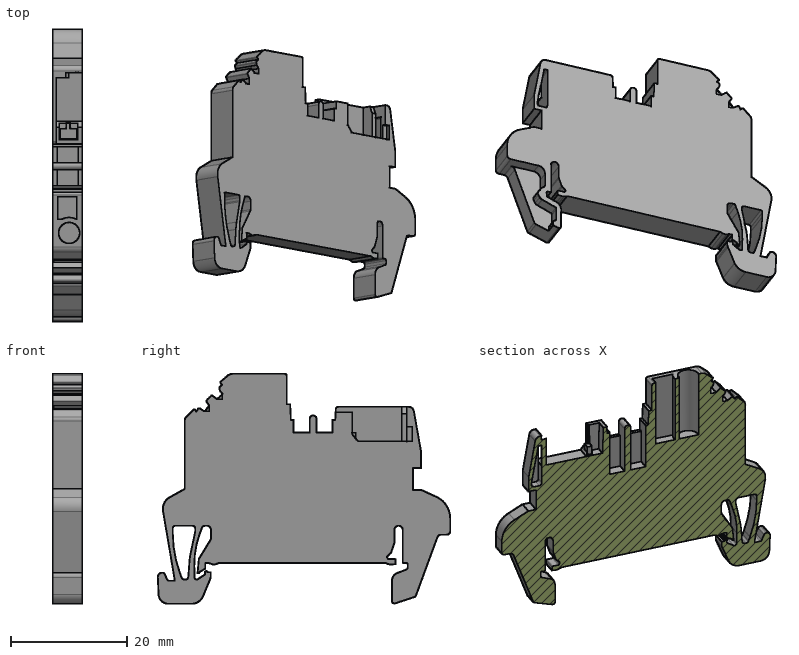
import cadquery as cq
import math


THICKNESS = 5.1
LENGTH = 50.37
HEIGHT = 39.63
OVERCUT = 1.0
COINCIDENT = 1e-6

RAIL_Z = 7.04
SHOULDER_BASE_Z = 11.91
SPRING_SLOT_TOP_Z = 13.45
SHOULDER_TOP_Z = 19.64
PLATE_BOTTOM_Z = 23.4
BRIDGE_FLOOR_Z = 29.52
BRIDGE_STEP_Z = 31.67
MARKER_TOP_Z = 33.95
HOUSING_STEP_Z = 34.41

BODY_FRONT_Y = 4.64
HOUSING_BACK_Y = 22.24
BRIDGE_FRONT_Y = 23.41
RIB_FRONT_Y = 26.15
RIB_BACK_Y = 27.36
BRIDGE_BACK_Y = 30.07
MARKER_FRONT_Y = 30.55
LATCH_INNER_Y = 40.31
SLOT_INNER_Y = 40.77
SLOT_OUTER_Y = 42.16
PLATE_INNER_Y = 42.85
BODY_BACK_Y = 43.96
PLATE_OUTER_Y = 45.33

MARKER_WALL = 0.63
BRIDGE_WALL = 0.76
FAR_WALL_X = 4.43

MARKER_FLOOR_Z = 28.0
PLATE_NOTCH_TOP_Z = 30.5
PLATE_NOTCH_DEPTH = 1.0
WINDOW_DEPTH = 4.0
CORNER_RIB_FRONT_Y = 42.0
CORNER_RIB_X = 2.22
CORNER_RIB_TOE_X = 2.79
CORNER_RIB_TOE_Z = 32.7

SOCKET_TOP_Z = 33.0
SOCKET_DRAFT = 2.0
SOCKET_BACK_Y = 33.48
SOCKET_RAMP_END_Y = 34.5
SOCKET_RAMP_TOP_Z = 29.2
SOCKET_X = (1.17, 4.31)
SOCKET_Y = (31.33, 33.35)
SOCKET_MOUTH_X = (2.2, 3.15)
SOCKET_MOUTH_END_Y = 34.37
SOCKET_PAD_END_Y = 34.12
SOCKET_PAD_TOP_Z = 29.5

BRIDGE_POCKET_DEPTH = 6.0
SCREW_X = 2.83
SCREW_Y = 15.27
SCREW_RADIUS = 1.81
SCREW_DEPTH = 12.0
SCREW_SLEEVE_RADIUS = 2.67
ENTRY_X = (0.88, 4.15)
ENTRY_Y = (17.62, 21.47)
ENTRY_DEPTH = 12.0

UPPER_GROOVE = ((11.15, 36.15), (10.24, 35.25))
LOWER_GROOVE = ((8.85, 34.13), (8.08, 33.16))
GROOVE_WEB = 0.2

LATCH_RECESS_DEPTH = 2.0


def rounded_outline(corners):
    """Closed YZ wire through (y, z, radius) corners; a radius of 0 leaves the corner sharp."""
    stretches = []
    for i, (y, z, radius) in enumerate(corners):
        corner = cq.Vector(y, z)
        if radius == 0:
            stretches.append([corner])
            continue
        before = cq.Vector(*corners[i - 1][:2])
        after = cq.Vector(*corners[(i + 1) % len(corners)][:2])
        to_before = (before - corner).normalized()
        to_after = (after - corner).normalized()
        half_angle = to_before.getAngle(to_after) / 2
        setback = radius / math.tan(half_angle)
        bisector = (to_before + to_after).normalized()
        middle = corner + bisector * (radius / math.sin(half_angle) - radius)
        stretches.append([corner + to_before * setback, middle, corner + to_after * setback])

    outline = cq.Workplane("YZ").moveTo(*stretches[-1][-1].toTuple()[:2])
    for i, stretch in enumerate(stretches):
        if (stretch[0] - stretches[i - 1][-1]).Length > COINCIDENT:
            outline = outline.lineTo(*stretch[0].toTuple()[:2])
        if len(stretch) > 1:
            outline = outline.threePointArc(stretch[1].toTuple()[:2], stretch[2].toTuple()[:2])
    return outline.close()


def block(x_range, y_range, z_range):
    """Box between the given limits."""
    sizes = [high - low for low, high in (x_range, y_range, z_range)]
    low_corner = (x_range[0], y_range[0], z_range[0])
    return cq.Workplane("XY").box(*sizes, centered=False).translate(low_corner)


def body():
    """Full-thickness slice with the side outline of the terminal block."""
    screw_housing = [
        (HOUSING_BACK_Y, HEIGHT, 0.4),
        (12.42, HEIGHT, 1.25),
    ]
    label_teeth = [
        (10.68, 38.15, 0.1),
        (11.1, 37.75, 0),
        (10.55, 37.25, 0.15),
        (10.7, 36.7, 0),
        (*UPPER_GROOVE[0], 0),
        (*UPPER_GROOVE[1], 0),
        (9.32, 35.95, 0),
        (8.30, 34.96, 0.1),
        (*LOWER_GROOVE[0], 0),
        (*LOWER_GROOVE[1], 0),
        (7.05, 33.8, 0.2),
        (6.65, 33.15, 0),
        (6.32, 33.6, 0.2),
    ]
    front_side = [
        (BODY_FRONT_Y, 31.95, 0.9),
        (BODY_FRONT_Y, 19.81, 0),
        (0.63, 17.58, 2.3),
    ]
    fixed_hook = [
        (2.94, 4.0, 0),
        (1.75, 4.0, 0.3),
        (1.1, 5.4, 0.45),
        (-0.03, 5.4, 0.75),
        (0.2, 0, 1.75),
        (7.27, 0, 2.2),
        (9.15, 4.5, 0.8),
        (9.15, 5.5, 0),
        (8.65, 5.5, 0),
        (8.4, 5.68, 0),
        (8.12, 5.55, 0),
        (8.12, 5.08, 0.15),
        (6.38, 3.93, 0.35),
    ]
    hook_slot = [
        (6.28, 9.4, 15.0),
        (7.75, 13.43, 0.5),
        (9.15, SPRING_SLOT_TOP_Z, 0.68),
        (9.15, 11.15, 0.5),
        (7.07, 7.75, 0.5),
        (6.84, 5.3, 0),
        (7.12, 5.3, 0),
        (7.3, 5.55, 0),
        (8.21, 6.05, 0),
    ]
    rail_seat = [
        (8.21, RAIL_Z, 0),
        (8.77, RAIL_Z, 0),
        (9.7, 6.7, 1.0),
        (10.54, RAIL_Z, 0),
        (39.17, RAIL_Z, 0),
        (40.05, 6.73, 1.0),
        (40.94, 6.85, 0),
        (40.94, 7.74, 0.1),
        (39.7, 7.74, 0.1),
        (39.45, 8.08, 0.1),
        (40.2, 8.85, 0.5),
        (SLOT_INNER_Y, 10.51, 0.5),
    ]
    slot_radius = (SLOT_OUTER_Y - SLOT_INNER_Y) / 2
    spring_latch = [
        (SLOT_INNER_Y, SPRING_SLOT_TOP_Z, slot_radius),
        (SLOT_OUTER_Y, SPRING_SLOT_TOP_Z, slot_radius),
        (SLOT_OUTER_Y, RAIL_Z, 0.15),
        (43.02, RAIL_Z, 0.25),
        (43.02, 6.03, 0.35),
        (LATCH_INNER_Y, 4.98, 1.45),
        (LATCH_INNER_Y, -0.1, 0.45),
        (44.4, 1.25, 0.5),
        (48.32, SHOULDER_BASE_Z, 0.7),
    ]
    back_shoulder = [
        (LENGTH, SHOULDER_BASE_Z, 0.6),
        (LENGTH, 17.36, 4.1),
        (45.38, SHOULDER_TOP_Z, 0),
        (BODY_BACK_Y, SHOULDER_TOP_Z, 0),
    ]
    marker_side = [
        (BODY_BACK_Y, PLATE_BOTTOM_Z, 0),
        (PLATE_OUTER_Y, PLATE_BOTTOM_Z, 0),
        (PLATE_OUTER_Y, 26.35, 0),
        (43.98, MARKER_TOP_Z, 0.95),
        (30.65, MARKER_TOP_Z, 0.45),
        (MARKER_FRONT_Y, BRIDGE_STEP_Z, 0),
    ]
    rib_radius = (RIB_BACK_Y - RIB_FRONT_Y) / 2
    rib_top = 32.46
    bridge_slots = [
        (BRIDGE_BACK_Y, BRIDGE_STEP_Z, 0),
        (BRIDGE_BACK_Y, BRIDGE_FLOOR_Z, 0),
        (RIB_BACK_Y, BRIDGE_FLOOR_Z, 0),
        (RIB_BACK_Y, rib_top, rib_radius),
        (RIB_FRONT_Y, rib_top, rib_radius),
        (RIB_FRONT_Y, BRIDGE_FLOOR_Z, 0),
        (BRIDGE_FRONT_Y, BRIDGE_FLOOR_Z, 0),
        (BRIDGE_FRONT_Y, BRIDGE_STEP_Z, 0),
        (22.95, BRIDGE_STEP_Z, 0),
        (22.83, HOUSING_STEP_Z, 0),
        (HOUSING_BACK_Y, HOUSING_STEP_Z, 0),
    ]
    corners = (
        screw_housing + label_teeth + front_side + fixed_hook + hook_slot + rail_seat
        + spring_latch + back_shoulder + marker_side + bridge_slots
    )
    return rounded_outline(corners).extrude(THICKNESS)


def hook_window():
    """Through opening that makes the leg of the fixed hook springy."""
    corners = [
        (6.43, 13.43, 0.4),
        (2.62, 13.43, 0.35),
        (2.62, 8.64, 20.0),
        (4.25, 4.23, 0.45),
        (5.22, 4.23, 0.45),
        (5.5, 8.0, 10.0),
        (6.43, 12.4, 1.0),
    ]
    return rounded_outline(corners).extrude(THICKNESS)


def plate_window():
    """Blind tapered window in the -X side of the marker end plate."""
    corners = [
        (43.46, 32.0, 0.2),
        (PLATE_INNER_Y, 32.0, 0.1),
        (PLATE_INNER_Y, 24.2, 0.5),
        (44.87, 24.2, 0.5),
    ]
    return rounded_outline(corners).extrude(WINDOW_DEPTH)


def latch_recess():
    """Recess in the -X side of the spring latch that leaves a raised rim along the rail side."""
    outside_y = LENGTH + OVERCUT
    corners = [
        (outside_y, SHOULDER_BASE_Z, 0),
        (43.32, SHOULDER_BASE_Z, 1.3),
        (43.32, 7.9, 0.5),
        (44.0, 7.5, 0.3),
        (44.75, 6.3, 0.6),
        (44.2, 5.25, 0.8),
        (41.2, 4.1, 0.2),
        (41.2, 1.7, 0.15),
        (41.75, 1.25, 0.2),
        (41.85, -OVERCUT, 0),
        (outside_y, -OVERCUT, 0),
    ]
    return rounded_outline(corners).extrude(LATCH_RECESS_DEPTH)


def marker_pocket():
    """Pocket open to the top and to +X, less the corner rib and the latch socket it contains."""
    pocket = block(
        (MARKER_WALL, THICKNESS + OVERCUT),
        (SOCKET_BACK_Y, PLATE_INNER_Y),
        (MARKER_FLOOR_Z, HEIGHT),
    )
    above_socket = block(
        (MARKER_WALL, THICKNESS + OVERCUT),
        (MARKER_FRONT_Y - OVERCUT, SOCKET_BACK_Y),
        (SOCKET_TOP_Z, HEIGHT),
    )
    return pocket.union(above_socket).cut(corner_rib()).cut(socket_ramp())


def corner_rib():
    """Rib joining the marker wall to the end plate, with a sloping toe."""
    profile = [
        (0, MARKER_FLOOR_Z),
        (CORNER_RIB_TOE_X, MARKER_FLOOR_Z),
        (CORNER_RIB_TOE_X, CORNER_RIB_TOE_Z),
        (CORNER_RIB_X, MARKER_TOP_Z),
        (0, MARKER_TOP_Z),
    ]
    rib_length = PLATE_INNER_Y - CORNER_RIB_FRONT_Y
    return (
        cq.Workplane("XZ", origin=(0, PLATE_INNER_Y, 0))
        .polyline(profile).close().extrude(rib_length)
    )


def socket_ramp():
    """Ramp from the marker pocket floor up to the socket, with two flat pads beside its mouth."""
    profile = [
        (SOCKET_BACK_Y, MARKER_FLOOR_Z),
        (SOCKET_RAMP_END_Y, MARKER_FLOOR_Z),
        (SOCKET_BACK_Y, SOCKET_RAMP_TOP_Z),
    ]
    ramp = cq.Workplane("YZ").polyline(profile).close().extrude(THICKNESS)
    pads = block(
        SOCKET_X,
        (SOCKET_BACK_Y, SOCKET_PAD_END_Y),
        (MARKER_FLOOR_Z, SOCKET_PAD_TOP_Z),
    )
    return ramp.union(pads)


def socket_cavity():
    """T-shaped drafted cavity of the latch socket, open to the marker pocket above its lips."""
    profile = [
        (SOCKET_X[0], SOCKET_Y[0]),
        (SOCKET_X[1], SOCKET_Y[0]),
        (SOCKET_X[1], SOCKET_Y[1]),
        (SOCKET_MOUTH_X[1], SOCKET_Y[1]),
        (SOCKET_MOUTH_X[1], SOCKET_MOUTH_END_Y),
        (SOCKET_MOUTH_X[0], SOCKET_MOUTH_END_Y),
        (SOCKET_MOUTH_X[0], SOCKET_Y[1]),
        (SOCKET_X[0], SOCKET_Y[1]),
    ]
    depth = SOCKET_TOP_Z - MARKER_FLOOR_Z
    cavity = (
        cq.Workplane("XY", origin=(0, 0, SOCKET_TOP_Z))
        .polyline(profile).close().extrude(-depth, taper=SOCKET_DRAFT)
    )
    lip_front_y = SOCKET_Y[1] - depth * math.tan(math.radians(SOCKET_DRAFT))
    above_lips = block(SOCKET_X, (lip_front_y, SOCKET_BACK_Y), (SOCKET_PAD_TOP_Z, SOCKET_TOP_Z))
    return cavity.union(above_lips)


def plate_notch():
    """Notch in the inner face of the marker end plate at +X, below its top tongue."""
    return block(
        (FAR_WALL_X, THICKNESS + OVERCUT),
        (PLATE_INNER_Y, PLATE_INNER_Y + PLATE_NOTCH_DEPTH),
        (MARKER_FLOOR_Z, PLATE_NOTCH_TOP_Z),
    )


def bridge_pocket(front_y, back_y):
    """Pocket in the floor of one bridge slot."""
    z_range = (BRIDGE_FLOOR_Z - BRIDGE_POCKET_DEPTH, BRIDGE_FLOOR_Z)
    return block((BRIDGE_WALL, FAR_WALL_X), (front_y, back_y), z_range)


def screw_hole():
    """Blind round hole for the clamping screw."""
    return (
        cq.Workplane("XY", origin=(SCREW_X, SCREW_Y, HEIGHT - SCREW_DEPTH))
        .circle(SCREW_RADIUS).extrude(SCREW_DEPTH)
    )


def wire_entry():
    """Blind rectangular hole whose -Y side bows around the screw hole."""
    floor_z = HEIGHT - ENTRY_DEPTH
    sleeve = (
        cq.Workplane("XY", origin=(SCREW_X, SCREW_Y, floor_z))
        .circle(SCREW_SLEEVE_RADIUS).extrude(ENTRY_DEPTH)
    )
    return block(ENTRY_X, ENTRY_Y, (floor_z, HEIGHT)).cut(sleeve)


def groove_relief(upper_end, lower_end):
    """Square deepening of a label groove, behind a thin web on the -X side."""
    inner_corner = (upper_end[0], lower_end[1])
    return (
        cq.Workplane("YZ", origin=(GROOVE_WEB, 0, 0))
        .polyline([upper_end, inner_corner, lower_end]).close().extrude(THICKNESS)
    )


cutters = [
    hook_window(),
    plate_window(),
    latch_recess(),
    marker_pocket(),
    socket_cavity(),
    plate_notch(),
    bridge_pocket(BRIDGE_FRONT_Y, RIB_FRONT_Y),
    bridge_pocket(RIB_BACK_Y, BRIDGE_BACK_Y),
    screw_hole(),
    wire_entry(),
    groove_relief(*UPPER_GROOVE),
    groove_relief(*LOWER_GROOVE),
]

result = body()
for cutter in cutters:
    result = result.cut(cutter)